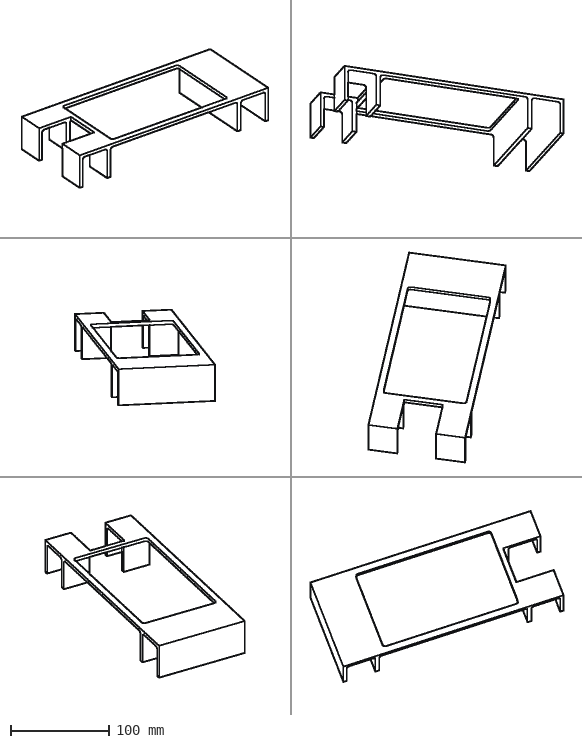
import cadquery as cq

width = 100.0
length = 238.0
height = 38.0

plate_thickness = 3.8
end_leg_thickness = 3.8
inner_leg_thickness = 4.5
bay_length = 30.7
root_radius = 2.9

window_width = 85.7
window_end_margin = 46.0
window_corner_radius = 2.9

notch_width = 40.0
notch_depth = 40.2

inner_leg_offset = end_leg_thickness + bay_length
middle_bay_length = length - 2 * (inner_leg_offset + inner_leg_thickness)
bay_center = length / 2 - end_leg_thickness - bay_length / 2
bay_height = height - plate_thickness


def bay(center_y, bay_size):
    """Open-bottomed space between two legs, rounded where it meets the plate."""
    return (
        cq.Workplane("XY")
        .center(0, center_y)
        .rect(width, bay_size)
        .extrude(bay_height)
        .edges("|X and >Z")
        .fillet(root_radius)
    )


result = cq.Workplane("XY").rect(width, length).extrude(height)
for center_y, bay_size in (
    (-bay_center, bay_length),
    (0, middle_bay_length),
    (bay_center, bay_length),
):
    result = result.cut(bay(center_y, bay_size))

window = (
    cq.Workplane("XY")
    .rect(window_width, length - 2 * window_end_margin)
    .extrude(height)
    .edges("|Z")
    .fillet(window_corner_radius)
)
result = result.cut(window)

notch_center_y = (notch_depth - length) / 2
notch = (
    cq.Workplane("XY")
    .center(0, notch_center_y)
    .rect(notch_width, notch_depth)
    .extrude(height)
)
result = result.cut(notch)